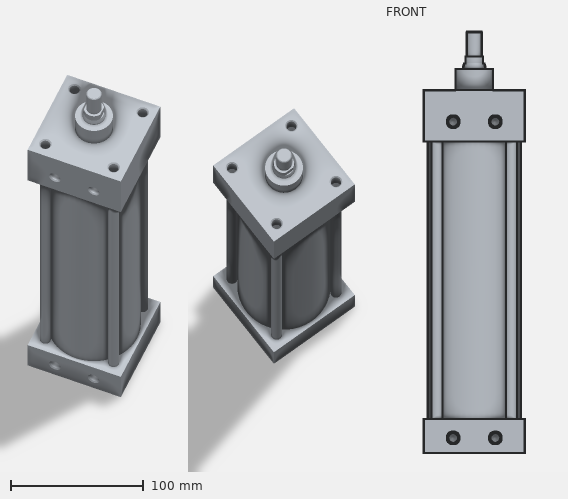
import cadquery as cq
import math

total_height = 317.5
block_side = 76.2

base_height = 25.7
head_bottom = 234.5
head_top = 273.5
boss_top = 289.2
taper_bottom = 290.2
taper_top = 293.5
shoulder_top = 298.8

barrel_radius = 35.2
tie_rod_radius = 4.0
tie_rod_offset = 28.0

boss_radius = 14.3

rod_radius = 8.5
shoulder_radius = 7.5
stud_radius = 5.7
stud_chamfer = 0.5
flat_distance = 6.7

mounting_radius = 3.8
mouth_chamfer = 1.0
hole_depth = 12.7
drill_point_angle = 118.0
side_hole_offset = 16.0
base_hole_height = 11.5
head_hole_height = 249.5


def upright_cylinder(radius, bottom, top):
    """A solid cylinder on the main axis between two heights."""
    return cq.Workplane("XY").workplane(offset=bottom).circle(radius).extrude(top - bottom)


def square_block(bottom, top):
    """A full-width square end block between two heights."""
    return (
        cq.Workplane("XY")
        .workplane(offset=bottom)
        .rect(block_side, block_side)
        .extrude(top - bottom)
    )


def drilled_hole():
    """The volume removed by one hole: its mouth lies at the origin and it runs along -Z."""
    point_depth = mounting_radius / math.tan(math.radians(drill_point_angle / 2))
    return (
        cq.Workplane("XZ")
        .moveTo(0, 0)
        .lineTo(mounting_radius + mouth_chamfer, 0)
        .lineTo(mounting_radius, -mouth_chamfer)
        .lineTo(mounting_radius, -hole_depth)
        .lineTo(0, -hole_depth - point_depth)
        .close()
        .revolve(360, (0, 0), (0, 1))
    )


def make_housing():
    """End blocks, barrel, tie rods and rod boss as one solid, bored for the piston rod."""
    corners = [(sx * tie_rod_offset, sy * tie_rod_offset) for sx in (-1, 1) for sy in (-1, 1)]

    housing = square_block(0, base_height)
    housing = housing.union(upright_cylinder(barrel_radius, base_height, head_bottom))
    housing = housing.union(square_block(head_bottom, head_top))
    housing = housing.union(upright_cylinder(boss_radius, head_top, boss_top))
    for x, y in corners:
        tie_rod = upright_cylinder(tie_rod_radius, base_height, head_bottom)
        housing = housing.union(tie_rod.translate((x, y, 0)))

    for x, y in corners:
        housing = housing.cut(drilled_hole().translate((x, y, head_top)))

    front_hole = drilled_hole().rotate((0, 0, 0), (1, 0, 0), 90)
    for x in (-side_hole_offset, side_hole_offset):
        for z in (base_hole_height, head_hole_height):
            housing = housing.cut(front_hole.translate((x, -block_side / 2, z)))

    return housing.cut(upright_cylinder(rod_radius, head_bottom, boss_top))


def make_piston_rod():
    """Rod tapering to a shoulder with two wrench flats, ending in a chamfered stud."""
    rod = (
        cq.Workplane("XZ")
        .moveTo(0, head_bottom)
        .lineTo(rod_radius, head_bottom)
        .lineTo(rod_radius, taper_bottom)
        .lineTo(shoulder_radius, taper_top)
        .lineTo(shoulder_radius, shoulder_top)
        .lineTo(stud_radius, shoulder_top)
        .lineTo(stud_radius, total_height - stud_chamfer)
        .lineTo(stud_radius - stud_chamfer, total_height)
        .lineTo(0, total_height)
        .close()
        .revolve(360, (0, 0), (0, 1))
    )

    flat_cutter = cq.Workplane("XY").box(
        rod_radius, 2 * rod_radius, shoulder_top - taper_top, centered=(True, True, False)
    )
    for side in (-1, 1):
        cutter_center = side * (flat_distance + rod_radius / 2)
        rod = rod.cut(flat_cutter.translate((cutter_center, 0, taper_top)))
    return rod


housing = make_housing()
piston_rod = make_piston_rod()
result = cq.Compound.makeCompound([housing.val(), piston_rod.val()])